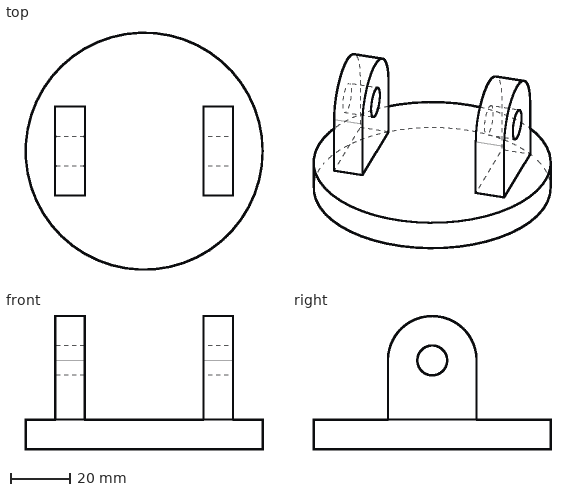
import cadquery as cq

base_diameter = 80.0
base_thickness = 10.0

lug_gap = 40.0
lug_thickness = 10.0
lug_width = 30.0
lug_radius = lug_width / 2
pin_diameter = 10.0
pin_height_above_base = 20.0
pin_z = base_thickness + pin_height_above_base


def make_lug(start_x):
    """Lug with a pin hole, reaching from start_x toward +X."""
    plane = cq.Workplane("YZ", origin=(start_x, 0, 0))
    body = (
        plane.moveTo(-lug_radius, base_thickness)
        .lineTo(lug_radius, base_thickness)
        .lineTo(lug_radius, pin_z)
        .threePointArc((0, pin_z + lug_radius), (-lug_radius, pin_z))
        .close()
        .extrude(lug_thickness)
    )
    pin_hole = plane.center(0, pin_z).circle(pin_diameter / 2).extrude(lug_thickness)
    return body.cut(pin_hole)


result = cq.Workplane("XY").circle(base_diameter / 2).extrude(base_thickness)
for start_x in (-lug_gap / 2 - lug_thickness, lug_gap / 2):
    result = result.union(make_lug(start_x))